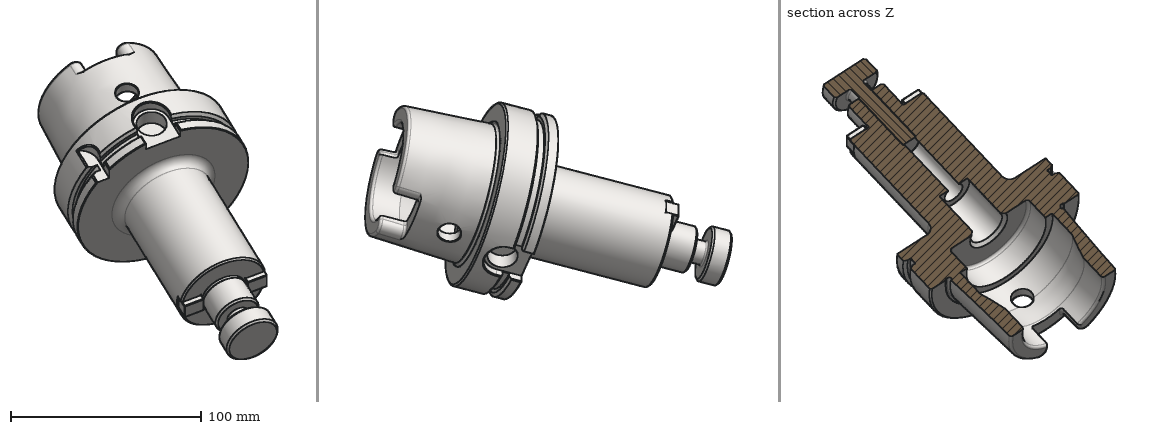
import cadquery as cq
import math

shank_end = 48.2
flange_start = 49.7
flange_end = 78.8
nose_end = 151.5
spigot_end = 169.2
head_start = 176.5
screw_end = 187.6

shank_end_radius = 37.9
shank_taper = 1 / 20
shank_tip_radius = shank_end_radius - shank_taper * shank_end
relief_inner_radius = 37.0
relief_outer_radius = 39.5
relief_face = flange_start + 0.5
relief_fillet = 1.5
shank_tip_round = 1.5

flange_radius = 50.0
flange_front_chamfer = 1.0
flange_back_chamfer = 0.4
groove_start = 67.0
groove_end = 73.2
groove_flank_depth = 2.0
groove_flank_width = groove_flank_depth * math.tan(math.radians(30))
groove_floor_radius = 46.0

neck_radius = 25.05
neck_fillet = 5.0
nose_chamfer = 1.0
spigot_radius = 12.66
spigot_undercut_radius = 12.48
spigot_undercut_length = 1.7
spigot_chamfer = 1.1

bore_radius = 26.55
bore_end = 63.8
clamp_cone_start = 16.3
clamp_cone_end = 31.9
clamp_recess_radius = 31.0
clamp_recess_end = 48.8
bore_floor_fillet = 1.7
tube_radius = 10.5
tube_mouth_radius = 12.48
tube_end = 93.8
tap_radius = 6.0

mouth_slot_width = 20.3
top_slot_depth = 9.8
bottom_slot_depth = 14.6
mouth_slot_floor_fillet = 1.5
mouth_slot_rim_round = 4.7
cross_hole_diameter = 12.0
cross_hole_x = 35.0
cross_hole_chamfer = 0.4

flange_slot_width = 19.9
flange_slot_x = 64.7
flange_slot_floor = 44.0
chip_hole_diameter = 16.0
chip_hole_depth = 9.4
flange_slot_chamfer = 0.5
notch_floor = 31.5
notch_wall = 31.5

key_width = 9.5
key_start = 147.0
key_end = 154.5
key_inner = 12.8
key_outer = 24.2
key_chamfer = 0.4
key_angles = (0, 180)

screw_shank_radius = 6.4
screw_shank_start = 131.3
screw_head_radius = 15.0
screw_head_chamfer = 1.1
screw_neck_fillet = 1.0

clearance = 1.9


def box_between(x0, x1, y0, y1, z0, z1):
    return cq.Workplane("XY").box(x1 - x0, y1 - y0, z1 - z0, centered=False).translate((x0, y0, z0))


def vertical_cylinder(x, y, radius, z0, z1):
    return cq.Workplane("XY", origin=(x, y, z0)).circle(radius).extrude(z1 - z0)


def revolve_profile(profile):
    return profile.close().revolve(360, (0, 0, 0), (1, 0, 0))


def flange_and_nose():
    """Revolved outside of the holder from the shank's relief groove to the spigot."""
    profile = (
        cq.Workplane("XY")
        .moveTo(shank_end, 0)
        .lineTo(shank_end, relief_inner_radius)
        .lineTo(relief_face - relief_fillet, relief_inner_radius)
        .radiusArc((relief_face, relief_inner_radius + relief_fillet), -relief_fillet)
        .lineTo(relief_face, relief_outer_radius)
        .lineTo(flange_start, relief_outer_radius)
        .lineTo(flange_start, flange_radius - flange_front_chamfer)
        .lineTo(flange_start + flange_front_chamfer, flange_radius)
        .lineTo(flange_end - flange_back_chamfer, flange_radius)
        .lineTo(flange_end, flange_radius - flange_back_chamfer)
        .lineTo(flange_end, neck_radius + neck_fillet)
        .radiusArc((flange_end + neck_fillet, neck_radius), -neck_fillet)
        .lineTo(nose_end - nose_chamfer, neck_radius)
        .lineTo(nose_end, neck_radius - nose_chamfer)
        .lineTo(nose_end, spigot_undercut_radius)
        .lineTo(nose_end + spigot_undercut_length, spigot_undercut_radius)
        .lineTo(nose_end + spigot_undercut_length, spigot_radius)
        .lineTo(spigot_end - spigot_chamfer, spigot_radius)
        .lineTo(spigot_end, spigot_radius - spigot_chamfer)
        .lineTo(spigot_end, 0)
    )
    return revolve_profile(profile)


def gripper_groove():
    """Ring cutter with sloping flanks at the rim and square sides below them."""
    outside = flange_radius + clearance
    profile = (
        cq.Workplane("XY")
        .moveTo(groove_start, outside)
        .lineTo(groove_start, flange_radius)
        .lineTo(groove_start + groove_flank_width, flange_radius - groove_flank_depth)
        .lineTo(groove_start + groove_flank_width, groove_floor_radius)
        .lineTo(groove_end - groove_flank_width, groove_floor_radius)
        .lineTo(groove_end - groove_flank_width, flange_radius - groove_flank_depth)
        .lineTo(groove_end, flange_radius)
        .lineTo(groove_end, outside)
    )
    return revolve_profile(profile)


def bores():
    """Every stepped hole along the axis, as one revolved cutter."""
    tube_mouth_depth = tube_mouth_radius - tube_radius
    profile = (
        cq.Workplane("XY")
        .moveTo(0, 0)
        .lineTo(0, bore_radius)
        .lineTo(clamp_cone_start, bore_radius)
        .lineTo(clamp_cone_end, clamp_recess_radius)
        .lineTo(clamp_recess_end, clamp_recess_radius)
        .lineTo(clamp_recess_end, bore_radius)
        .lineTo(bore_end - bore_floor_fillet, bore_radius)
        .radiusArc((bore_end, bore_radius - bore_floor_fillet), bore_floor_fillet)
        .lineTo(bore_end, tube_mouth_radius)
        .lineTo(bore_end + tube_mouth_depth, tube_radius)
        .lineTo(tube_end, tube_radius)
        .lineTo(tube_end, tap_radius)
        .lineTo(screw_shank_start, tap_radius)
        .lineTo(screw_shank_start, screw_shank_radius)
        .lineTo(spigot_end, screw_shank_radius)
        .lineTo(spigot_end, 0)
    )
    return revolve_profile(profile)


def mouth_slot(depth, side):
    """Slot across one side of the shank mouth; side is +1 for +Z and -1 for -Z."""
    half = mouth_slot_width / 2
    slot = box_between(-depth, depth, -half, half, 0, shank_end_radius + clearance)
    if side < 0:
        slot = slot.mirror("XY")
    return slot


def at_depth(depth):
    """Selector for edges that lie across the axis at one depth from the shank mouth."""
    reach = flange_radius
    slack = 0.02
    return cq.selectors.BoxSelector(
        (depth - slack, -reach, -reach), (depth + slack, reach, reach), boundingbox=True
    )


def make_shank():
    """Hollow taper with a driving slot on each side of its rounded mouth."""
    shank = revolve_profile(
        cq.Workplane("XY")
        .moveTo(0, 0)
        .lineTo(0, shank_tip_radius)
        .lineTo(shank_end, shank_end_radius)
        .lineTo(shank_end, 0)
    )
    shank = shank.cut(mouth_slot(top_slot_depth, 1)).cut(mouth_slot(bottom_slot_depth, -1))
    shank = shank.cut(cq.Workplane("YZ").circle(bore_radius).extrude(shank_end))
    shank = shank.edges("%HYPERBOLA").fillet(mouth_slot_rim_round)
    for depth in (top_slot_depth, bottom_slot_depth):
        corners = shank.edges("%LINE").edges(at_depth(depth))
        shank = corners.fillet(mouth_slot_floor_fillet)
    return shank.faces("<X").edges().fillet(shank_tip_round)


def flange_slot(y_centre, floor):
    """Slot with a rounded end, a horizontal floor and an open side towards the nose."""
    radius = flange_slot_width / 2
    top = flange_radius + clearance
    run_end = flange_end + clearance
    round_end = vertical_cylinder(flange_slot_x, y_centre, radius, floor, top)
    run = box_between(flange_slot_x, run_end, y_centre - radius, y_centre + radius, floor, top)
    return round_end.union(run)


def add_flange_slots(body):
    """Slot and chip hole at +Z and -Z, a corner notch, and a chamfer along their rims."""
    for side in (1, -1):
        slot = flange_slot(0, flange_slot_floor)
        hole = vertical_cylinder(
            flange_slot_x, 0, chip_hole_diameter / 2, flange_slot_floor - chip_hole_depth, flange_radius
        )
        cutter = slot.union(hole)
        if side < 0:
            cutter = cutter.mirror("XY")
        body = body.cut(cutter)
    notch = flange_slot(-notch_wall - flange_slot_width / 2, notch_floor)
    body = body.cut(notch)
    flange_middle = ((flange_start + flange_end) / 2, 0, 0)
    flange_rim = body.faces("%CYLINDER").faces(cq.selectors.NearestToPointSelector(flange_middle))
    return flange_rim.edges("not %CIRCLE").edges("not >Y").chamfer(flange_slot_chamfer)


def add_cross_hole(body):
    """Hole through both walls of the shank, chamfered where it opens on the taper."""
    cross_hole = vertical_cylinder(
        cross_hole_x, 0, cross_hole_diameter / 2, -shank_end_radius, shank_end_radius
    )
    body = body.cut(cross_hole)
    for side in (1, -1):
        rim = cq.selectors.NearestToPointSelector((cross_hole_x, 0, side * shank_end_radius))
        body = body.edges(rim).chamfer(cross_hole_chamfer)
    return body


def key_block(outer):
    """Block on the -Y side of the spigot, reaching from it out to the given distance."""
    half = key_width / 2
    return box_between(key_start, key_end, -outer, -key_inner, -half, half)


def make_key(angle):
    key = key_block(key_outer).edges().chamfer(key_chamfer)
    return key.rotate((0, 0, 0), (1, 0, 0), angle)


def make_holder():
    body = add_flange_slots(flange_and_nose()).cut(gripper_groove())
    body = body.union(make_shank()).cut(bores())
    body = add_cross_hole(body)
    for angle in key_angles:
        seat = key_block(neck_radius + clearance).rotate((0, 0, 0), (1, 0, 0), angle)
        body = body.cut(seat)
    return body


def make_screw():
    profile = (
        cq.Workplane("XY")
        .moveTo(screw_shank_start, 0)
        .lineTo(screw_shank_start, screw_shank_radius)
        .lineTo(head_start - screw_neck_fillet, screw_shank_radius)
        .radiusArc((head_start, screw_shank_radius + screw_neck_fillet), -screw_neck_fillet)
        .lineTo(head_start, screw_head_radius - screw_head_chamfer)
        .lineTo(head_start + screw_head_chamfer, screw_head_radius)
        .lineTo(screw_end - screw_head_chamfer, screw_head_radius)
        .lineTo(screw_end, screw_head_radius - screw_head_chamfer)
        .lineTo(screw_end, 0)
    )
    return revolve_profile(profile)


holder = make_holder()
keys = [make_key(angle) for angle in key_angles]
screw = make_screw()

result = cq.Compound.makeCompound([holder.val(), *[key.val() for key in keys], screw.val()])